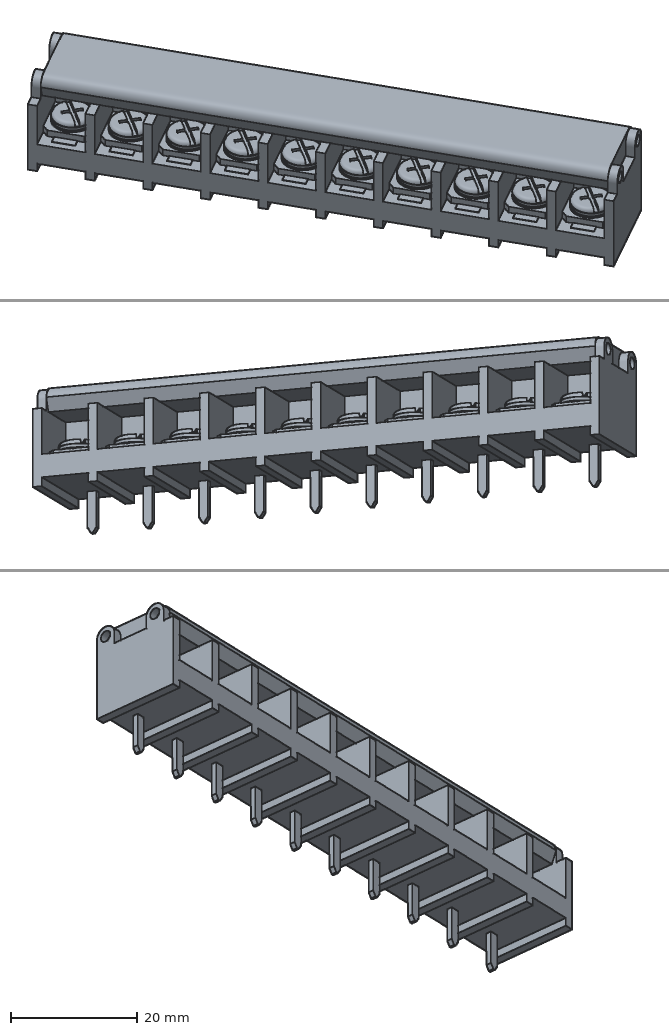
import cadquery as cq
import math


length = 96.5
depth = 16.0
cell_count = 10
wall = 1.5
pitch = (length - wall) / cell_count
cell_width = pitch - wall
wall_top = 12.7
foot_height = 1.4

cell_floor = 5.2
cell_depth = 10.4

cover_top = 16.8
cover_front = 2.0
cover_radius = 1.8
cover_lean = 22.0

ear_radius = 1.8
ear_drop = 0.2
ear_hole_diameter = 1.9

clamp_front = 2.6
clamp_top = 6.4
clamp_chamfer = 1.0
tongue_front = 1.3
tongue_width = 3.9
tongue_height = 0.1

screw_setback = 6.5
screw_diameter = 6.85
neck_diameter = 6.7
neck_bottom = 6.7
head_bottom = 7.2
head_top = 8.1
slot_width = 0.8
slot_angle = 30.0
cross_width = 0.6
cross_span = 3.5
slot_depth = 0.7

pin_width = 1.5
pin_thickness = 1.0
pin_setback = 12.1
pin_length = 5.3
pin_taper = 0.9
pin_tip_width = 0.4


def box(x_start, x_end, y_start, y_end, z_start, z_end):
    size = (x_end - x_start, y_end - y_start, z_end - z_start)
    return cq.Workplane("XY").box(*size, centered=False).translate((x_start, y_start, z_start))


def cover():
    """Cover between the end walls, rounded along its top edges."""
    shoulder = cover_top - cover_radius
    front_foot = cover_front + (shoulder - wall_top) * math.tan(math.radians(cover_lean))
    corner = cover_radius * (1 - math.sqrt(0.5))
    return (
        cq.Workplane("YZ", origin=(wall, 0, 0))
        .moveTo(front_foot, wall_top)
        .lineTo(cover_front, shoulder)
        .threePointArc(
            (cover_front + corner, cover_top - corner),
            (cover_front + cover_radius, cover_top),
        )
        .lineTo(depth - cover_radius, cover_top)
        .threePointArc((depth - corner, cover_top - corner), (depth, shoulder))
        .lineTo(depth, wall_top)
        .close()
        .extrude(length - 2 * wall)
    )


def ear(x_start, y_center):
    """Upright ear with a round top, as thick as an end wall, with a hinge hole."""
    z_center = cover_top - ear_drop - ear_radius
    plate = box(
        x_start, x_start + wall,
        y_center - ear_radius, y_center + ear_radius,
        wall_top, z_center,
    )
    axis = cq.Workplane("YZ", origin=(x_start, y_center, z_center))
    return plate.union(axis.circle(ear_radius).extrude(wall)).cut(
        axis.circle(ear_hole_diameter / 2).extrude(wall)
    )


def screw(x_center):
    """Round-edged head with a full slot and a short cross slot, above a neck and a washer."""
    def disc(diameter, bottom, top):
        base = cq.Workplane("XY", origin=(x_center, screw_setback, bottom))
        return base.circle(diameter / 2).extrude(top - bottom)

    radius = screw_diameter / 2
    rounding = head_top - head_bottom
    corner = rounding * (1 - math.sqrt(0.5))
    head = (
        cq.Workplane("XZ", origin=(x_center, screw_setback, 0))
        .moveTo(0, head_bottom)
        .lineTo(radius, head_bottom)
        .threePointArc((radius - corner, head_top - corner), (radius - rounding, head_top))
        .lineTo(0, head_top)
        .close()
        .revolve(360, (0, 0), (0, 1))
    )
    for width, span, angle in (
        (slot_width, 2 * screw_diameter, slot_angle),
        (cross_width, cross_span, slot_angle + 90),
    ):
        slot = (
            cq.Workplane("XY")
            .box(width, span, slot_depth, centered=(True, True, False))
            .rotate((0, 0, 0), (0, 0, 1), angle)
            .translate((x_center, screw_setback, head_top - slot_depth))
        )
        head = head.cut(slot)
    washer = disc(screw_diameter, clamp_top, neck_bottom)
    neck = disc(neck_diameter, neck_bottom, head_bottom)
    return washer.union(neck).union(head)


def clamp(x_center):
    """Clamp block filling the cell width, with chamfered front corners and a tongue."""
    half_cell = cell_width / 2
    block = (
        box(
            x_center - half_cell, x_center + half_cell,
            clamp_front, cell_depth,
            cell_floor, clamp_top,
        )
        .faces("<Y").edges("|Z").chamfer(clamp_chamfer)
    )
    tongue = box(
        x_center - tongue_width / 2, x_center + tongue_width / 2,
        tongue_front, clamp_front,
        cell_floor, cell_floor + tongue_height,
    )
    return block.union(tongue)


def pin(x_center):
    """Flat solder pin, tapered across its width at the tip."""
    half = pin_width / 2
    half_tip = pin_tip_width / 2
    taper_start = pin_taper - pin_length
    return (
        cq.Workplane("XZ", origin=(x_center, pin_setback + pin_thickness / 2, 0))
        .polyline([
            (-half, foot_height),
            (-half, taper_start),
            (-half_tip, -pin_length),
            (half_tip, -pin_length),
            (half, taper_start),
            (half, foot_height),
        ])
        .close()
        .extrude(pin_thickness)
    )


block = box(0, length, 0, depth, 0, wall_top).union(cover())

for x_start in (0, length - wall):
    for y_center in (cover_front + ear_radius, depth - ear_radius):
        block = block.union(ear(x_start, y_center))

for index in range(cell_count):
    cell_start = wall + index * pitch
    cell_end = cell_start + cell_width
    cell_center = cell_start + cell_width / 2
    block = (
        block
        .cut(box(cell_start, cell_end, 0, cell_depth, cell_floor, wall_top))
        .cut(box(cell_start, cell_end, 0, depth, 0, foot_height))
        .union(clamp(cell_center))
        .union(screw(cell_center))
        .union(pin(cell_center))
    )

result = block